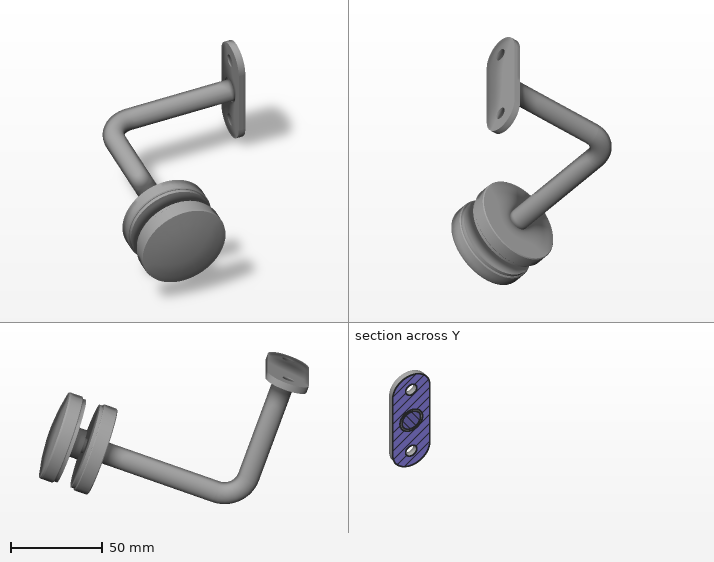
import cadquery as cq

plate_width = 24.0
plate_height = 64.0
plate_thickness = 3.9
screw_hole_diameter = 6.9
screw_hole_spacing = 43.0

arm_diameter = 12.0
arm_drop = 78.2
bend_radius = 14.0
seat_diameter = 14.1
seat_depth = 0.7

overall_length = 123.0
disc_diameter = 49.9
disc_thickness = 8.0
disc_chamfer = 0.5
gasket_diameter = 48.0
gasket_thickness = 2.0
glass_gap = 8.0
sleeve_diameter = 16.9
sleeve_length = 6.2
stud_diameter = 8.4
dome_height = 3.0
rim_length = 1.0
rim_drop = 0.2

arm_start_y = seat_depth - plate_thickness

dome_tip_x = overall_length - plate_width / 2
outer_disc_x = dome_tip_x - dome_height - disc_thickness
outer_gasket_x = outer_disc_x - gasket_thickness
inner_gasket_x = outer_gasket_x - glass_gap - gasket_thickness
inner_disc_x = inner_gasket_x - disc_thickness


def clamp_plane(x):
    """Plane square to the clamp axis, facing +X."""
    return cq.Workplane("YZ", origin=(x, -arm_drop, 0))


def make_plate():
    plate = (
        cq.Workplane("XZ")
        .slot2D(plate_height, plate_width, 90)
        .extrude(plate_thickness)
    )
    screw_holes = (
        cq.Workplane("XZ")
        .rarray(1.2, screw_hole_spacing, 1, 2)
        .circle(screw_hole_diameter / 2)
        .extrude(plate_thickness)
    )
    arm_seat = (
        cq.Workplane("XZ", origin=(0, arm_start_y, 0))
        .circle(seat_diameter / 2)
        .extrude(seat_depth)
    )
    return plate.cut(screw_holes).cut(arm_seat)


def make_arm():
    path = (
        cq.Workplane("XY")
        .moveTo(0, arm_start_y)
        .lineTo(0, bend_radius - arm_drop)
        .radiusArc((bend_radius, -arm_drop), -bend_radius)
        .lineTo(inner_disc_x, -arm_drop)
    )
    return cq.Workplane("XZ", origin=(0, arm_start_y, 0)).circle(arm_diameter / 2).sweep(path)


def make_inner_disc():
    disc = clamp_plane(inner_disc_x).circle(disc_diameter / 2).extrude(disc_thickness)
    return disc.edges("%CIRCLE").chamfer(disc_chamfer)


def make_outer_disc():
    radius = disc_diameter / 2
    rim_radius = radius - rim_drop
    rim_x = dome_tip_x - dome_height
    dome_radius = (rim_radius**2 + dome_height**2) / (2 * dome_height)
    profile = (
        cq.Workplane("XY", origin=(0, -arm_drop, 0))
        .moveTo(outer_disc_x, 0)
        .lineTo(outer_disc_x, radius - disc_chamfer)
        .lineTo(outer_disc_x + disc_chamfer, radius)
        .lineTo(rim_x - rim_length, radius)
        .lineTo(rim_x, rim_radius)
        .radiusArc((dome_tip_x, 0), dome_radius)
        .close()
    )
    return profile.revolve(360, (0, 0, 0), (1, 0, 0))


def make_ring(x, diameter, length):
    """Ring around the stud, starting at x."""
    return clamp_plane(x).circle(diameter / 2).circle(stud_diameter / 2).extrude(length)


def make_stud():
    length = outer_disc_x - inner_gasket_x
    return clamp_plane(inner_gasket_x).circle(stud_diameter / 2).extrude(length)


plate = make_plate()
arm = make_arm()
inner_disc = make_inner_disc()
outer_disc = make_outer_disc()
gaskets = [
    make_ring(x, gasket_diameter, gasket_thickness)
    for x in (inner_gasket_x, outer_gasket_x)
]
sleeve = make_ring(outer_gasket_x - sleeve_length, sleeve_diameter, sleeve_length)
stud = make_stud()

result = cq.Compound.makeCompound(
    [
        plate.val(),
        arm.val(),
        inner_disc.val(),
        outer_disc.val(),
        *[gasket.val() for gasket in gaskets],
        sleeve.val(),
        stud.val(),
    ]
)